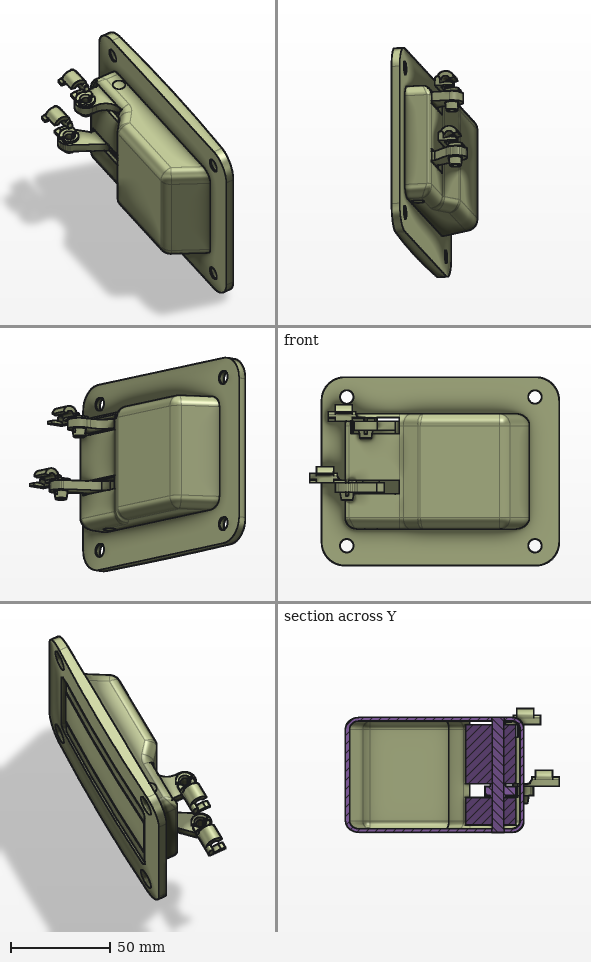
import cadquery as cq
import math


OVERALL_LENGTH = 125.7

PLATE_LENGTH = 119.8
PLATE_HEIGHT = 95.0
PLATE_CORNER = 12.0
PLATE_EDGE = 4.3
PLATE_CROWN = 6.0
HOLE_DIAMETER = 6.7
HOLE_STRAIGHT = 0.8
SINK_DIAMETER = 11.2
HOLE_CENTRE_X = 0.3
HOLE_PITCH_X = 94.8
HOLE_PITCH_Z = 74.9

WALL = 2.0
PAN_HALF_HEIGHT = 29.0
PAN_LEFT = -48.0
PAN_SHALLOW = 13.2
PAN_DEEP = 20.1
STEP_START = -19.6
STEP_END = -11.0
PAN_RIGHT = 44.9
FLARE = math.radians(30)
RIM_RADIUS = 6.0
EDGE_RADIUS = 1.9
BEND_RADIUS = 3.0
SLOT_LEFT = -45.0
SLOT_RIGHT = -20.7

PIN_X = -35.0
PIN_Y = -3.9
PIN_RADIUS = 3.1

ARM_THICKNESS = 4.7
UPPER_END_RADIUS = 5.8
LOWER_END_RADIUS = 5.9
PEG_RADIUS = 3.1
UPPER_ARM_TOP = 25.3
UPPER_PEG = (-37.6, -22.0)
LOWER_ARM_TOP = -5.8
LOWER_PEG = (-47.0, -25.9)
UPPER_SLOT = (19.0, 27.0)
LOWER_SLOT = (-11.3, -4.5)

PADDLE_GAP = 1.9
PADDLE_LEFT = PAN_LEFT + WALL + PADDLE_GAP
PADDLE_RIGHT = PAN_RIGHT - WALL - PADDLE_GAP
PADDLE_HALF_HEIGHT = UPPER_ARM_TOP
PADDLE_SINK = 0.8
PADDLE_PLATE = 1.3
BLOCK_FRONT = -10.4
BLOCK_FOOT = -13.8
BLOCK_CORNER = 3.0
ARM_FILLET = 9.0
GRIP_HALF_HEIGHT = 15.1
GRIP_RISE = 0.4

COLLAR_RADIUS = 4.1
LEVER_RIGHT = -28.3
SHOULDER = (-32.0, -11.7)
SHOULDER_TOP = -9.2
LEFT_LEAN = 45
RIGHT_LEAN = 60
FACETS = 18
NOTCH_GAP = 0.4

CLIP_LEFT = PLATE_LENGTH / 2 - OVERALL_LENGTH - LOWER_PEG[0]
WALL_RIGHT = -5.0
WALL_FOOT = -3.9
WALL_SLOPE_Z = (1.8, 3.6)
HOOK_LEFT = -15.5
HOOK_RIGHT = -6.8
BASE_THICKNESS = 1.3
WALL_HEIGHT = 4.8
HOOK_CENTRE_Z = 3.5
HOOK_OUTER = 4.7
HOOK_INNER = 2.1
BASE_HALF_WIDTH = HOOK_OUTER
HOOK_TIP_ANGLE = math.radians(15)
RIDGE_TOP = 1.9
RIDGE_CREST = -2.0
PAD_RELIEF = 5.0
PEG_LENGTH = 8.8
PEG_LIP = 3.5
PEG_TIP = 2.9
PEG_CHAMFER = 0.4
BORE_RADIUS = 2.0
BORE_MOUTH = 3.0
SLIT_WIDTH = 1.5
SLIT_DEPTH = 6.7


def prism(points, z_low, z_high):
    """Closed XY outline extruded between two heights."""
    return cq.Workplane("XY").workplane(offset=z_low).polyline(points).close().extrude(z_high - z_low)


def block(x_range, y_range, z_range):
    """Box between the given limits."""
    x_low, x_high = x_range
    y_low, y_high = y_range
    return prism([(x_low, y_low), (x_high, y_low), (x_high, y_high), (x_low, y_high)], *z_range)


def cylinder(centre, radius, z_low, z_high):
    return cq.Workplane("XY").workplane(offset=z_low).center(*centre).circle(radius).extrude(z_high - z_low)


def domed_plate(left, right, front, sink, half_height):
    """Slab from y = front to the dome lowered by sink; the dome curves about a vertical axis."""
    rise = PLATE_CROWN - PLATE_EDGE
    radius = ((PLATE_LENGTH / 2) ** 2 + rise ** 2) / (2 * rise)

    def dome(x):
        return PLATE_CROWN - sink - radius + math.sqrt(radius ** 2 - x ** 2)

    middle = (left + right) / 2
    outline = cq.Workplane("XY").moveTo(left, front).lineTo(right, front).lineTo(right, dome(right))
    outline = outline.threePointArc((middle, dome(middle)), (left, dome(left))).close()
    return outline.extrude(half_height, both=True)


def make_plate():
    """Domed plate with four holes countersunk from the back."""
    half = PLATE_LENGTH / 2
    plate = domed_plate(-half, half, 0, 0, PLATE_HEIGHT / 2).edges("|Y").fillet(PLATE_CORNER)
    radius = HOLE_DIAMETER / 2
    profile = [(0, 0), (radius, 0), (radius, HOLE_STRAIGHT), (SINK_DIAMETER / 2, PLATE_CROWN), (0, PLATE_CROWN)]
    hole = cq.Workplane("XY").polyline(profile).close().revolve(360, (0, 0), (0, 1))
    for side in (-1, 1):
        for level in (-1, 1):
            place = (HOLE_CENTRE_X + side * HOLE_PITCH_X / 2, 0, level * HOLE_PITCH_Z / 2)
            plate = plate.cut(hole.translate(place))
    return plate


def make_pan(inset, back):
    """Solid pan shape with every face moved inwards by inset, from the floor to y = back."""
    ramp = math.atan2(PAN_DEEP - PAN_SHALLOW, STEP_END - STEP_START)
    step_shift = inset * math.tan(ramp / 2)
    deep = -PAN_DEEP + inset
    shallow = -PAN_SHALLOW + inset
    left = PAN_LEFT + inset
    right = PAN_RIGHT - inset / math.cos(FLARE)

    bend = (STEP_START + step_shift, shallow)
    foot = (STEP_END + step_shift, deep)
    well = (right + deep * math.tan(FLARE), deep)
    top_right = (right + back * math.tan(FLARE), back)
    corner = (left, shallow)
    half = PAN_HALF_HEIGHT - inset
    pan = prism([(left, back), corner, bend, foot, well, top_right], -half, half)

    rounds = [(bend, BEND_RADIUS + inset), (well, RIM_RADIUS - inset)]
    if EDGE_RADIUS > inset:
        rounds += [(foot, EDGE_RADIUS - inset), (corner, EDGE_RADIUS - inset)]
    for place, radius in rounds:
        pan = pan.edges(cq.selectors.NearestToPointSelector((*place, 0))).fillet(radius)

    rim = pan.faces(">Z or <Z").edges("not(|X and >Y)")
    return rim.fillet(RIM_RADIUS - inset)


def make_housing():
    housing = make_plate().union(make_pan(0, 0)).cut(make_pan(WALL, PLATE_CROWN))
    for slot in (UPPER_SLOT, LOWER_SLOT):
        housing = housing.cut(block((SLOT_LEFT, SLOT_RIGHT), (-PAN_DEEP, RIM_RADIUS - PAN_SHALLOW), slot))
    return housing.cut(make_pin())


def make_pin():
    return cylinder((PIN_X, PIN_Y), PIN_RADIUS, -PAN_HALF_HEIGHT, PAN_HALF_HEIGHT)


def make_upper_arm():
    peg_x, peg_y = UPPER_PEG
    left = peg_x - UPPER_END_RADIUS
    right = peg_x + UPPER_END_RADIUS
    fillet_y = BLOCK_FRONT - ARM_FILLET
    fillet_mid = ARM_FILLET * (1 - math.cos(math.pi / 4))
    outline = (
        cq.Workplane("XY").workplane(offset=UPPER_ARM_TOP - ARM_THICKNESS)
        .moveTo(left, PIN_Y)
        .lineTo(left, peg_y)
        .threePointArc((peg_x, peg_y - UPPER_END_RADIUS), (right, peg_y))
        .lineTo(right, fillet_y)
        .threePointArc((right + fillet_mid, BLOCK_FRONT - fillet_mid), (right + ARM_FILLET, BLOCK_FRONT))
        .lineTo(right + ARM_FILLET, PIN_Y)
        .close()
    )
    return outline.extrude(ARM_THICKNESS)


def make_paddle():
    half = PADDLE_HALF_HEIGHT
    block_right = UPPER_PEG[0] + UPPER_END_RADIUS + ARM_FILLET
    paddle = domed_plate(PADDLE_LEFT, PADDLE_RIGHT, PADDLE_PLATE, PADDLE_SINK, half)
    grip = domed_plate(PADDLE_LEFT, PADDLE_RIGHT, PADDLE_PLATE, PADDLE_SINK - GRIP_RISE, GRIP_HALF_HEIGHT)
    hub = prism([(PADDLE_LEFT, PADDLE_PLATE), (PADDLE_LEFT, BLOCK_FRONT), (block_right, BLOCK_FRONT),
                 (BLOCK_FOOT, PADDLE_PLATE)], -half, half)
    hub = hub.edges(cq.selectors.NearestToPointSelector((PADDLE_LEFT, BLOCK_FRONT, 0))).fillet(BLOCK_CORNER)
    notch = block((SLOT_LEFT, BLOCK_FOOT), (-PAN_DEEP, PIN_Y + COLLAR_RADIUS + NOTCH_GAP), LOWER_SLOT)
    paddle = paddle.union(grip).union(hub).cut(notch).union(make_upper_arm())
    peg_hole = cylinder(UPPER_PEG, PEG_RADIUS, UPPER_ARM_TOP - ARM_THICKNESS, UPPER_ARM_TOP)
    return paddle.cut(make_pin()).cut(peg_hole)


def make_lower_lever():
    peg_x, peg_y = LOWER_PEG
    lean = math.tan(math.radians(LEFT_LEAN))
    start = 90 + LEFT_LEAN
    stop = 270 + RIGHT_LEAN
    rounded_end = []
    for i in range(FACETS + 1):
        angle = math.radians(start + (stop - start) * i / FACETS)
        reach_x = LOWER_END_RADIUS * math.cos(angle)
        reach_y = LOWER_END_RADIUS * math.sin(angle)
        rounded_end.append((peg_x + reach_x, peg_y + reach_y))
    elbow_y = rounded_end[0][1] + (PADDLE_LEFT - rounded_end[0][0]) * lean
    back = PIN_Y + COLLAR_RADIUS
    outline = [(PADDLE_LEFT, back), (PADDLE_LEFT, elbow_y), *rounded_end, SHOULDER,
               (LEVER_RIGHT, SHOULDER_TOP), (LEVER_RIGHT, back)]
    bottom = LOWER_ARM_TOP - ARM_THICKNESS
    lever = prism(outline, bottom, LOWER_ARM_TOP)
    collar = cylinder((PIN_X, PIN_Y), COLLAR_RADIUS, *LOWER_SLOT)
    peg_hole = cylinder(LOWER_PEG, PEG_RADIUS, bottom, LOWER_ARM_TOP)
    return lever.union(collar).cut(make_pin()).cut(peg_hole)


def extrude_along_x(outline, left, right):
    """Closed YZ outline extruded to span left to right."""
    return outline.extrude(right - left).translate((left, 0, 0))


def make_hook():
    cosine = math.cos(HOOK_TIP_ANGLE)
    sine = math.sin(HOOK_TIP_ANGLE)
    outline = (
        cq.Workplane("YZ")
        .moveTo(-HOOK_OUTER * cosine, HOOK_CENTRE_Z + HOOK_OUTER * sine)
        .threePointArc((0, HOOK_CENTRE_Z + HOOK_OUTER), (HOOK_OUTER, HOOK_CENTRE_Z))
        .lineTo(HOOK_OUTER, 0)
        .lineTo(HOOK_INNER, 0)
        .lineTo(HOOK_INNER, HOOK_CENTRE_Z)
        .threePointArc((0, HOOK_CENTRE_Z + HOOK_INNER),
                       (-HOOK_INNER * cosine, HOOK_CENTRE_Z + HOOK_INNER * sine))
        .close()
    )
    return extrude_along_x(outline, HOOK_LEFT, HOOK_RIGHT)


def make_clip_wall():
    """Upright wall with a rounded top, its right end cut back by a sloping corner."""
    thickness = HOOK_OUTER - HOOK_INNER
    shoulder = WALL_HEIGHT - thickness / 2
    section = (
        cq.Workplane("YZ").moveTo(HOOK_INNER, 0).lineTo(HOOK_OUTER, 0).lineTo(HOOK_OUTER, shoulder)
        .threePointArc(((HOOK_INNER + HOOK_OUTER) / 2, WALL_HEIGHT), (HOOK_INNER, shoulder)).close()
    )
    wall = extrude_along_x(section, CLIP_LEFT, WALL_FOOT)
    side = [(CLIP_LEFT, 0), (WALL_FOOT, 0), (WALL_FOOT, WALL_SLOPE_Z[0]), (WALL_RIGHT, WALL_SLOPE_Z[1]),
            (WALL_RIGHT, WALL_HEIGHT), (CLIP_LEFT, WALL_HEIGHT)]
    return wall.intersect(cq.Workplane("XZ").polyline(side).close().extrude(HOOK_OUTER, both=True))


def make_clip_base():
    """Two pads that rise to a crest, open under the hook, with a flat half-round end round the peg."""
    edge = BASE_HALF_WIDTH
    profile = [(-edge, 0), (HOOK_OUTER, 0), (HOOK_OUTER, BASE_THICKNESS), (HOOK_INNER, BASE_THICKNESS),
               (RIDGE_CREST, RIDGE_TOP), (-edge, BASE_THICKNESS)]
    end_disc = cylinder((0, 0), edge, 0, BASE_THICKNESS)
    above_disc = cylinder((0, 0), PAD_RELIEF, BASE_THICKNESS, RIDGE_TOP)
    left_pad = extrude_along_x(cq.Workplane("YZ").polyline(profile).close(), CLIP_LEFT, HOOK_LEFT)
    right_pad = extrude_along_x(cq.Workplane("YZ").polyline(profile).close(), HOOK_RIGHT, 0)
    return end_disc.union(left_pad).union(right_pad.cut(above_disc))


def make_peg():
    """Hollow snap peg, slit on both sides from the top."""
    profile = [(0, BASE_THICKNESS), (PEG_RADIUS, BASE_THICKNESS), (PEG_RADIUS, -ARM_THICKNESS),
               (PEG_LIP, -ARM_THICKNESS), (PEG_TIP, PEG_CHAMFER - PEG_LENGTH),
               (PEG_TIP - PEG_CHAMFER, -PEG_LENGTH), (0, -PEG_LENGTH)]
    return cq.Workplane("XZ").polyline(profile).close().revolve(360, (0, 0), (0, 1))


def make_peg_openings():
    profile = [(0, BASE_THICKNESS), (BORE_MOUTH, BASE_THICKNESS), (BORE_RADIUS, 0),
               (BORE_RADIUS, -PEG_LENGTH), (0, -PEG_LENGTH)]
    bore = cq.Workplane("XZ").polyline(profile).close().revolve(360, (0, 0), (0, 1))
    half = SLIT_WIDTH / 2
    reach = BASE_HALF_WIDTH
    slit = block((-half, half), (-reach, reach), (half - SLIT_DEPTH, BASE_THICKNESS))
    slit_end = cq.Workplane("XZ").center(0, half - SLIT_DEPTH).circle(half).extrude(reach, both=True)
    return bore.union(slit).union(slit_end)


def make_clip(peg, arm_top):
    clip = make_clip_base().union(make_clip_wall()).union(make_hook()).union(make_peg())
    return clip.cut(make_peg_openings()).translate((*peg, arm_top))


housing = make_housing()
pin = make_pin()
paddle = make_paddle()
lower_lever = make_lower_lever()
clips = [make_clip(peg, top) for peg, top in ((UPPER_PEG, UPPER_ARM_TOP), (LOWER_PEG, LOWER_ARM_TOP))]

bodies = [housing, pin, paddle, lower_lever, *clips]
result = cq.Compound.makeCompound([body.solids().val() for body in bodies])